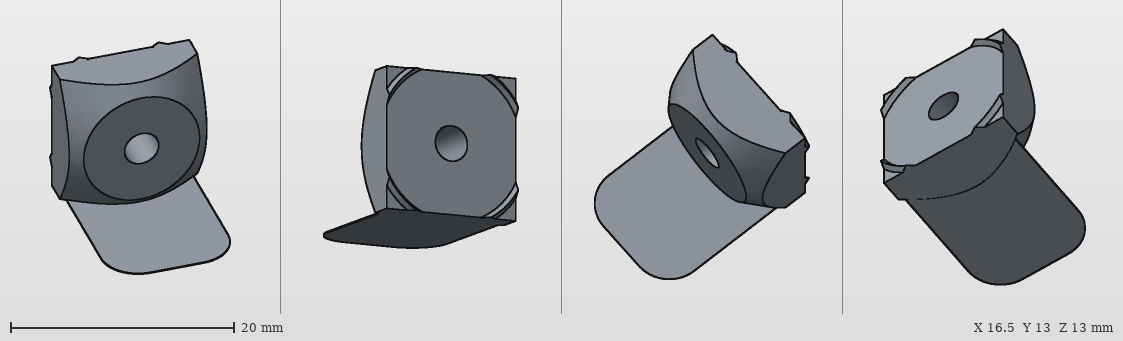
import cadquery as cq

length = 16.5
block_side = 13.0
ridge_height = 0.5
block_end = 6.5
hole_diameter = 3.23

cone_end_radius = 5.48

crest_radius = 7.5
ridge_half_width = 0.36

tab_width = 12.0
tab_thickness = 0.1
tab_corner_radius = 3.5

half_side = block_side / 2


def revolve_about_x(profile):
    """Revolve a closed (x, radius) outline about the X axis."""
    return cq.Workplane("XY").polyline(profile).close().revolve(360, (0, 0, 0), (1, 0, 0))


def square_prism():
    return cq.Workplane("YZ").rect(block_side, block_side).extrude(block_end)


def make_block():
    cone_base_radius = cone_end_radius + block_end - ridge_height
    cone = revolve_about_x([
        (ridge_height, 0),
        (ridge_height, cone_base_radius),
        (block_end, cone_end_radius),
        (block_end, 0),
    ])
    return square_prism().intersect(cone)


def make_ridge():
    foot_x = 2 * ridge_height
    ring = revolve_about_x([
        (0, crest_radius),
        (ridge_height, crest_radius + ridge_half_width),
        (foot_x, crest_radius + ridge_half_width),
        (foot_x, crest_radius - ridge_half_width),
        (ridge_height, crest_radius - ridge_half_width),
    ])
    return square_prism().intersect(ring)


def make_tab():
    tab_start = 2 * ridge_height
    tab_length = length - tab_start
    return (
        cq.Workplane("XY", origin=(tab_start, 0, -half_side))
        .box(tab_length, tab_width, tab_thickness, centered=(False, True, False))
        .edges("|Z and >X")
        .fillet(tab_corner_radius)
    )


hole = cq.Workplane("YZ").circle(hole_diameter / 2).extrude(block_end)

result = make_block().union(make_ridge()).union(make_tab()).cut(hole)